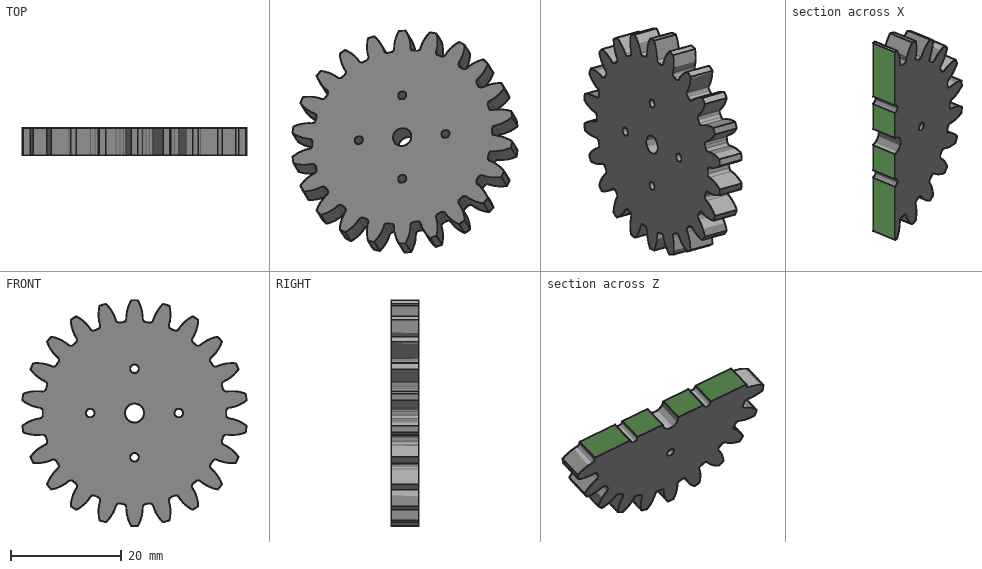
import cadquery as cq
import math

outer_diameter = 40.9
tooth_count = 22
dedendum_factor = 1.25
face_width = 5.0

tip_half_width = 0.6
base_half_width = 1.5
root_fillet = 0.6

bore_diameter = 3.4
bolt_hole_diameter = 1.5
bolt_circle_radius = 8.0
bolt_hole_count = 4

gear_module = outer_diameter / (tooth_count + 2)
outer_radius = outer_diameter / 2
pitch_radius = gear_module * tooth_count / 2
root_radius = pitch_radius - dedendum_factor * gear_module
tooth_pitch = 2 * math.pi / tooth_count


def polar(center, radius, angle):
    """Point on a circle, at an angle measured from +X towards +Z."""
    return (center[0] + radius * math.cos(angle), center[1] + radius * math.sin(angle))


def rotate(point, angle):
    """Turn a point about the gear axis, from +Z towards +X."""
    x, z = point
    return (x * math.cos(angle) + z * math.sin(angle), z * math.cos(angle) - x * math.sin(angle))


def mirror(point):
    """Reflect a point in the centre line of the tooth."""
    return (-point[0], point[1])


fillet_center_x = base_half_width + root_fillet
fillet_center_z = math.sqrt((root_radius + root_fillet) ** 2 - fillet_center_x ** 2)
fillet_center = (fillet_center_x, fillet_center_z)
fillet_end_angle = math.pi + math.atan2(fillet_center_z, fillet_center_x)
fillet_top = (base_half_width, fillet_center_z)
fillet_middle = polar(fillet_center, root_fillet, (math.pi + fillet_end_angle) / 2)
fillet_end = polar(fillet_center, root_fillet, fillet_end_angle)

tip_corner = (tip_half_width, math.sqrt(outer_radius ** 2 - tip_half_width ** 2))
flank_width = base_half_width - tip_half_width
flank_height = tip_corner[1] - fillet_center_z
flank_radius = (flank_width ** 2 + flank_height ** 2) / (2 * flank_width)
flank_center = (base_half_width - flank_radius, fillet_center_z)
flank_middle = polar(flank_center, flank_radius, math.asin(flank_height / flank_radius) / 2)

tip_middle = (0, outer_radius)
root_middle = rotate((0, root_radius), tooth_pitch / 2)
next_tooth_start = rotate(mirror(fillet_end), tooth_pitch)

tooth_arcs = [
    (mirror(fillet_middle), mirror(fillet_top)),
    (mirror(flank_middle), mirror(tip_corner)),
    (tip_middle, tip_corner),
    (flank_middle, fillet_top),
    (fillet_middle, fillet_end),
    (root_middle, next_tooth_start),
]


def gear_outline():
    outline = cq.Workplane("XZ", origin=(0, face_width / 2, 0)).moveTo(*mirror(fillet_end))
    for tooth in range(tooth_count):
        turn = tooth * tooth_pitch
        for middle, end in tooth_arcs:
            outline = outline.threePointArc(rotate(middle, turn), rotate(end, turn))
    return outline.close()


gear = gear_outline().extrude(face_width)

bore = cq.Workplane("XZ").circle(bore_diameter / 2).extrude(face_width, both=True)
bolt_holes = (
    cq.Workplane("XZ")
    .polarArray(bolt_circle_radius, 0, 360, bolt_hole_count)
    .circle(bolt_hole_diameter / 2)
    .extrude(face_width, both=True)
)

result = gear.cut(bore).cut(bolt_holes)